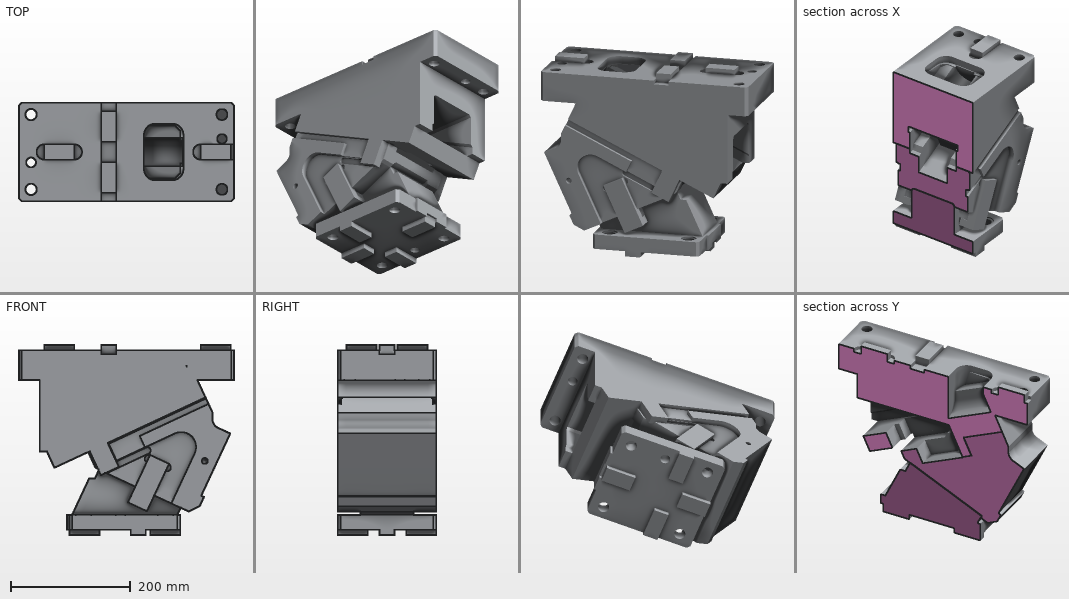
import cadquery as cq
import math

WIDTH = 165.0
HALF_WIDTH = WIDTH / 2
ANGLE = 25.0
COS = math.cos(math.radians(ANGLE))
SIN = math.sin(math.radians(ANGLE))
CORNER_CHAMFER = 5.0

KEY_LENGTH = 50.5
KEY_WIDTH = 25.5
KEY_HEIGHT = 9.0
KEY_SLOT_DEPTH = 6.5

BASE_BOTTOM = KEY_HEIGHT
BASE_THICKNESS = 25.0
BASE_TOP = BASE_BOTTOM + BASE_THICKNESS
PLATE_THICKNESS = 50.0
HOLDER_TOP = 309.0
PLATE_BOTTOM = HOLDER_TOP - PLATE_THICKNESS

SLIDE_X, SLIDE_Z = 118.6, 140.0
DRIVE_X, DRIVE_Z = 146.6, 103.4
SLIDE_PLANE = cq.Plane((SLIDE_X, 0, SLIDE_Z), (COS, 0, SIN), (0, -1, 0))
DRIVE_PLANE = cq.Plane((DRIVE_X, 0, DRIVE_Z), (COS, 0, -SIN), (0, -1, 0))

SCREW_HOLE = 18.5
DOWEL_HOLE = 16.0
HOLE_Y = 62.5


def slide_point(u, v):
    """World (x, z) of a point in the slide frame."""
    return (SLIDE_X + u * COS - v * SIN, SLIDE_Z + u * SIN + v * COS)


def drive_point(p, q):
    """World (x, z) of a point in the driver frame."""
    return (DRIVE_X + p * COS + q * SIN, DRIVE_Z - p * SIN + q * COS)


def on_fall(start, z):
    """World (x, z) at height z on the line through start that is square to the driver face."""
    return (start[0] + (z - start[1]) * SIN / COS, z)


def block(x0, x1, y0, y1, z0, z1):
    """Box between two corners."""
    return cq.Workplane("XY").box(x1 - x0, y1 - y0, z1 - z0, centered=False).translate((x0, y0, z0))


def prism(points, half_width, plane="XZ"):
    """Closed outline in a plane whose normal is Y, extruded evenly to both sides."""
    return cq.Workplane(plane).polyline(points).close().extrude(half_width, both=True)


def layer(plane, sketch_points, y0, y1):
    """Outline in a tilted plane, extruded over y0..y1 and mirrored to the other side."""
    one = cq.Workplane(plane).workplane(offset=-y1).polyline(sketch_points).close().extrude(y1 - y0)
    return one.union(one.mirror("XZ"))


def along_slide(section, u0, u1):
    """Outline of (y, v) points swept up the slide from u0 to u1."""
    x, z = slide_point(u0, 0)
    plane = cq.Plane((x, 0, z), (0, -1, 0), (-COS, 0, -SIN))
    return cq.Workplane(plane).polyline(section).close().extrude(u0 - u1)


def rectangle(a0, a1, b0, b1):
    """Corner points of a rectangle."""
    return [(a0, b0), (a1, b0), (a1, b1), (a0, b1)]


def long_slot(x0, x1, z0, z1):
    """Key slot along X on the centre line, with round ends."""
    slot = cq.Workplane("XY", origin=((x0 + x1) / 2, 0, z0)).slot2D(x1 - x0, KEY_WIDTH)
    return slot.extrude(z1 - z0)


def drill(points, diameter, z0, z1):
    """Vertical round holes."""
    return cq.Workplane("XY", origin=(0, 0, z0)).pushPoints(points).circle(diameter / 2).extrude(z1 - z0)


HOLDER_LENGTH = 360.0
BODY_LEFT = 35.0
SLAB = 30.0
SLIDE_END = 213.5
NOSE_U = -65.2
EAR_LENGTH = 33.0
EAR_DROP = 44.0
STOP_HALF = 25.0
OPENING_END = 113.0
STOP_END = OPENING_END + 20.0
CHANNEL_DEPTH = 35.0
EAR_INNER = 68.3


def holder_body():
    nose_top = slide_point(NOSE_U, SLAB)
    corner = slide_point(SLIDE_END, 0)
    right_top_x = corner[0] - (PLATE_BOTTOM - corner[1]) * SIN / COS
    body = prism([
        (BODY_LEFT, HOLDER_TOP - KEY_SLOT_DEPTH), (BODY_LEFT, nose_top[1]), nose_top,
        slide_point(NOSE_U, 0), corner, (right_top_x, PLATE_BOTTOM),
        (right_top_x, HOLDER_TOP - KEY_SLOT_DEPTH),
    ], HALF_WIDTH)
    plate = block(0, HOLDER_LENGTH, -HALF_WIDTH, HALF_WIDTH, PLATE_BOTTOM, HOLDER_TOP)
    plate = plate.edges("|Z").chamfer(CORNER_CHAMFER)
    ears = layer(SLIDE_PLANE, rectangle(0, EAR_LENGTH, -EAR_DROP, SLAB), EAR_INNER, HALF_WIDTH)
    stop = prism(rectangle(OPENING_END, STOP_END, -CHANNEL_DEPTH, SLAB), STOP_HALF, SLIDE_PLANE)
    return body.union(plate).union(ears).union(stop)


TUNNEL_TOP = 212.0
TUNNEL_HALF = 47.0
TUNNEL_CHAMFER = 4.0
FLOOR_HALF = 51.0
FLOOR_BAND = 16.0
OPENING_START = -6.4
SPRING_SLOT_START = -16.7
SPRING_SLOT_HALF = 28.0


def holder_tunnel():
    """Wedge between a level ceiling and the sloping floor, and its openings down to the slider."""
    floor_start = slide_point(NOSE_U, SLAB)
    floor_end_x = floor_start[0] + (TUNNEL_TOP - floor_start[1]) * COS / SIN
    wedge = prism([
        (0, TUNNEL_TOP), (0, floor_start[1]), floor_start, (floor_end_x, TUNNEL_TOP),
    ], TUNNEL_HALF)
    wedge = wedge.faces(">Z").edges("|X").chamfer(TUNNEL_CHAMFER)
    step = FLOOR_HALF - TUNNEL_HALF
    band = along_slide([
        (-FLOOR_HALF, SLAB), (FLOOR_HALF, SLAB), (FLOOR_HALF, SLAB + FLOOR_BAND),
        (TUNNEL_HALF, SLAB + FLOOR_BAND + step), (-TUNNEL_HALF, SLAB + FLOOR_BAND + step),
        (-FLOOR_HALF, SLAB + FLOOR_BAND),
    ], NOSE_U - SLAB, OPENING_END)
    opening = prism(rectangle(OPENING_START, OPENING_END, 0, SLAB), TUNNEL_HALF, SLIDE_PLANE)
    slot = prism(rectangle(SPRING_SLOT_START, OPENING_END, 0, SLAB), SPRING_SLOT_HALF, SLIDE_PLANE)
    below_ceiling = block(0, HOLDER_LENGTH, -HALF_WIDTH, HALF_WIDTH, 0, TUNNEL_TOP)
    return wedge.union(band.union(opening).union(slot).intersect(below_ceiling))


POCKET_LEFT, POCKET_RIGHT = 209.0, 275.5
POCKET_HALF = 47.5
POCKET_RADIUS = 20.0
LEDGE_V = 76.0
LEDGE_HALF = 43.5
LEDGE_RIGHT = 269.5
LEDGE_CORNER = 8.0
LEDGE_BEVEL = 25.0
POCKET_FLOOR = HOLDER_TOP - 13.0
GROOVE_RADIUS = 23.5
GROOVE_AXIS_V = LEDGE_V - 13.0
GROOVE_END = 207.0


def holder_top_pocket():
    """Rounded well down to a sloping ledge, with a round-bottomed groove along the slope."""
    well = block(POCKET_LEFT, POCKET_RIGHT, -POCKET_HALF, POCKET_HALF, SLIDE_Z, HOLDER_TOP)
    well = well.edges("|Z").fillet(POCKET_RADIUS)
    above_floor = block(0, HOLDER_LENGTH, -HALF_WIDTH, HALF_WIDTH, POCKET_FLOOR, HOLDER_TOP)
    above_ledge = along_slide([
        (-LEDGE_HALF, LEDGE_V), (LEDGE_HALF, LEDGE_V), (POCKET_HALF, LEDGE_V + LEDGE_BEVEL),
        (POCKET_HALF, HOLDER_TOP), (-POCKET_HALF, HOLDER_TOP), (-POCKET_HALF, LEDGE_V + LEDGE_BEVEL),
    ], 0, GROOVE_END)
    ledge_area = block(POCKET_LEFT, LEDGE_RIGHT, -LEDGE_HALF, LEDGE_HALF, SLIDE_Z, HOLDER_TOP)
    ledge_area = ledge_area.edges("|Z and >X").chamfer(LEDGE_CORNER)
    bevel_end = LEDGE_RIGHT - LEDGE_CORNER
    bevel_area = block(POCKET_LEFT, bevel_end, -POCKET_HALF, POCKET_HALF, SLIDE_Z, HOLDER_TOP)
    above_ledge = above_ledge.intersect(ledge_area.union(bevel_area))

    groove_x, groove_z = slide_point(0, GROOVE_AXIS_V)
    groove = cq.Workplane(cq.Plane((groove_x, 0, groove_z), (0, 1, 0), (COS, 0, SIN)))
    groove = groove.circle(GROOVE_RADIUS).extrude(GROOVE_END)
    straight = prism(rectangle(0, GROOVE_END, GROOVE_AXIS_V, LEDGE_V), GROOVE_RADIUS, SLIDE_PLANE)
    right_of_wall = block(POCKET_LEFT, HOLDER_LENGTH, -HALF_WIDTH, HALF_WIDTH, SLIDE_Z, POCKET_FLOOR)
    groove = groove.union(straight).intersect(right_of_wall)
    return well.intersect(above_floor.union(above_ledge)).union(groove)


HOLDER_CROSS_X = 137.5
HOLDER_CROSS_KEY_Y = 17.5
HOLDER_KEY_X = (42.5, 304.0)
HOLDER_HOLE_X = (20.5, HOLDER_LENGTH - 20.5)
HOLDER_DOWELS = ((HOLDER_HOLE_X[0], -17.5), (HOLDER_HOLE_X[1], 22.0))


def add_holder_keys(body):
    slot_floor = HOLDER_TOP - KEY_SLOT_DEPTH
    key_top = HOLDER_TOP + KEY_HEIGHT
    left_x, right_x = HOLDER_KEY_X
    overrun = KEY_WIDTH / 2
    cross_end = HOLDER_CROSS_X + KEY_WIDTH
    body = body.cut(block(HOLDER_CROSS_X, cross_end, -HALF_WIDTH, HALF_WIDTH, slot_floor, HOLDER_TOP))
    body = body.cut(long_slot(left_x - overrun, left_x + KEY_LENGTH + overrun, slot_floor, HOLDER_TOP))
    body = body.cut(long_slot(right_x - overrun, HOLDER_LENGTH + KEY_WIDTH, slot_floor, HOLDER_TOP))
    for x in HOLDER_KEY_X:
        body = body.union(block(x, x + KEY_LENGTH, -KEY_WIDTH / 2, KEY_WIDTH / 2, slot_floor, key_top))
    for y in (HOLDER_CROSS_KEY_Y, -HOLDER_CROSS_KEY_Y - KEY_LENGTH):
        body = body.union(block(HOLDER_CROSS_X, cross_end, y, y + KEY_LENGTH, slot_floor, key_top))
    return body


def make_holder():
    body = holder_body().cut(holder_tunnel()).cut(holder_top_pocket())
    body = add_holder_keys(body)
    screws = [(x, y) for x in HOLDER_HOLE_X for y in (-HOLE_Y, HOLE_Y)]
    body = body.cut(drill(screws, SCREW_HOLE, PLATE_BOTTOM, HOLDER_TOP))
    return body.cut(drill(HOLDER_DOWELS, DOWEL_HOLE, PLATE_BOTTOM, HOLDER_TOP))


SLIDER_LEFT = -3.0
SLIDER_SHOULDER_V = -28.0
SLIDER_FOOT = 151.5
SLIDER_STEP = 164.5
SLIDER_FRONT = 159.5
SLIDER_TIP_Q = 147.7
NOTCH_DROP = 13.0
NOTCH_RADIUS = 17.0
NOTCH_P = 140.5
SLIDER_LIP = (16.0, 33.0)
DRIVER_TOP_LEFT = -14.0


def slider_body():
    shoulder = slide_point(SLIDE_END, SLIDER_SHOULDER_V)
    arc_start = (shoulder[0], shoulder[1] - NOTCH_DROP)
    arc_end = drive_point(NOTCH_P, SLIDER_TIP_Q)
    outline = (
        cq.Workplane("XZ")
        .polyline([
            drive_point(DRIVER_TOP_LEFT, 0), slide_point(SLIDER_LEFT, SLIDER_SHOULDER_V),
            slide_point(SLIDER_LEFT, 0), slide_point(SLIDE_END, 0), shoulder, arc_start,
        ])
        .radiusArc(arc_end, -NOTCH_RADIUS)
    )
    for p, q in (
        (SLIDER_FRONT, SLIDER_TIP_Q), (SLIDER_FRONT, SLIDER_LIP[1]), (SLIDER_STEP, SLIDER_LIP[1]),
        (SLIDER_STEP, SLIDER_LIP[0]), (SLIDER_FOOT, 0),
    ):
        outline = outline.lineTo(*drive_point(p, q))
    return outline.close().extrude(HALF_WIDTH, both=True)


RAIL_Y = 76.5
RAIL_DEPTH = 12.0
RAIL_CHAMFER = 2.0
RAIL_STEP_U = 86.5
RAIL_LOW_V = -34.0
EAR_CLEARANCE = 1.0
EAR_TRACK_V = -EAR_DROP - EAR_CLEARANCE
EAR_TRACK_END = 88.0
POCKET_Y = 72.5
ARCH_V = -33.0
ARCH_P = 119.5
ARCH_RADIUS = 25.0


def slider_side_recesses():
    strip = layer(SLIDE_PLANE, rectangle(SLIDER_LEFT, SLIDE_END, -RAIL_DEPTH, 0), RAIL_Y, HALF_WIDTH)
    left_part = rectangle(SLIDER_LEFT, RAIL_STEP_U, RAIL_LOW_V, 0)
    deep_strip = layer(SLIDE_PLANE, left_part, RAIL_Y, HALF_WIDTH)
    ear_area = rectangle(SLIDER_LEFT, EAR_LENGTH + EAR_CLEARANCE, EAR_TRACK_V, 0)
    ear_space = layer(SLIDE_PLANE, ear_area, EAR_INNER, HALF_WIDTH)
    track_radius = (RAIL_LOW_V - EAR_TRACK_V) / 2
    track_area = rectangle(SLIDER_LEFT, EAR_TRACK_END, EAR_TRACK_V, RAIL_LOW_V)
    track = layer(SLIDE_PLANE, track_area, EAR_INNER, HALF_WIDTH)
    end = cq.Workplane(SLIDE_PLANE).center(EAR_TRACK_END, RAIL_LOW_V - track_radius).circle(track_radius)
    end = end.extrude(HALF_WIDTH, both=True)
    end = end.cut(block(0, HOLDER_LENGTH, -EAR_INNER, EAR_INNER, 0, HOLDER_TOP))
    edge = along_slide(
        [(RAIL_Y - RAIL_CHAMFER, 0), (RAIL_Y, -RAIL_CHAMFER), (RAIL_Y, 0)], SLIDER_LEFT, SLIDE_END)
    strip = strip.union(edge).union(edge.mirror("XZ"))
    return strip.union(deep_strip).union(ear_space).union(track).union(end)


def slider_arch_pocket():
    """Side pocket under a line parallel to the slide, rounded into a line square to the driver."""
    slide_side = rectangle(-WIDTH, HOLDER_LENGTH, -HOLDER_TOP, ARCH_V)
    below_slide = layer(SLIDE_PLANE, slide_side, POCKET_Y, HALF_WIDTH)
    driver_side = rectangle(-WIDTH, ARCH_P, 0, HOLDER_TOP)
    left_of_wall = layer(DRIVE_PLANE, driver_side, POCKET_Y, HALF_WIDTH)
    pocket = below_slide.intersect(left_of_wall)
    return pocket.edges("|Y and >Z").fillet(ARCH_RADIUS)


BAR_P = (53.0, 88.0)
BAR_Q = (-29.0, 58.5)
BAR_OUTER = 80.5
BAR_INNER = 65.0
HOOK_INNER = 52.0
HOOK_TOP = -17.0
RELIEF_RADIUS = 6.0
RELIEF_DROP = 7.0
RELIEF_DEPTH = 4.0


def slider_bar_reliefs():
    q = BAR_Q[1] - RELIEF_DROP
    reliefs = (
        cq.Workplane(DRIVE_PLANE).pushPoints([(p, q) for p in BAR_P])
        .circle(RELIEF_RADIUS).extrude(POCKET_Y, both=True)
    )
    keep = POCKET_Y - RELIEF_DEPTH
    return reliefs.cut(block(0, HOLDER_LENGTH, -keep, keep, 0, HOLDER_TOP))


def slider_return_bars():
    bars = layer(DRIVE_PLANE, rectangle(*BAR_P, *BAR_Q), BAR_INNER, BAR_OUTER)
    hooks = layer(DRIVE_PLANE, rectangle(*BAR_P, BAR_Q[0], HOOK_TOP), HOOK_INNER, BAR_OUTER)
    return bars.union(hooks)


CHANNEL_HALF = 29.0
CHANNEL_START = 30.0
TOP_STEP = 7.0
TOP_STEP_END = 80.0
SIDE_HOLE = 10.0
SIDE_HOLE_DEPTH = 10.0
DRILL_SLOPE = 31.0
SIDE_HOLE_X, SIDE_HOLE_Z = 310.8, 124.0


def slider_top_recess():
    """Spring channel along the slide, and the lowered top on both sides of its start."""
    channel = prism(rectangle(CHANNEL_START, STOP_END, -CHANNEL_DEPTH, 0), CHANNEL_HALF, SLIDE_PLANE)
    lean = TOP_STEP * math.tan(math.radians(2 * ANGLE))
    lowered = prism([
        (SLIDER_LEFT, 0), (SLIDER_LEFT, -TOP_STEP), (TOP_STEP_END - lean, -TOP_STEP), (TOP_STEP_END, 0),
    ], TUNNEL_HALF, SLIDE_PLANE)
    return channel.union(lowered)


def slider_side_hole():
    """Blind hole from the +Y side with a conical bottom."""
    radius = SIDE_HOLE / 2
    bottom = SIDE_HOLE_DEPTH + radius * math.tan(math.radians(DRILL_SLOPE))
    half_section = cq.Workplane("YX", origin=(SIDE_HOLE_X, 0, SIDE_HOLE_Z)).polyline([
        (HALF_WIDTH, 0), (HALF_WIDTH, radius),
        (HALF_WIDTH - SIDE_HOLE_DEPTH, radius), (HALF_WIDTH - bottom, 0),
    ])
    return half_section.close().revolve(360, (0, 0), (1, 0))


def make_slider():
    body = slider_body().cut(slider_side_recesses()).cut(slider_arch_pocket())
    body = body.cut(slider_top_recess()).cut(slider_bar_reliefs())
    body = body.cut(driver_crest(DRIVER_TOP_LEFT - TROUGH_RUNOUT))
    hole = slider_side_hole()
    body = body.cut(hole).cut(hole.mirror("XZ"))
    return body.union(slider_return_bars())


DRIVER_HALF = 44.5
CREST_HEIGHT = 4.5
TROUGH_RUNOUT = 20.0
DRIVER_RIGHT = 136.7
DRIVER_LEDGE_Z = 95.0
DRIVER_LEDGE_X = 117.5
BASE_LEFT, BASE_RIGHT = 84.5, 270.0
BASE_TONGUE = 4.0
BASE_TONGUE_HALF = 37.0
LUG_END_GAP = 2.0


def driver_block():
    top_left = drive_point(DRIVER_TOP_LEFT, 0)
    top_right = drive_point(DRIVER_RIGHT, 0)
    ledge = (DRIVER_LEDGE_X, DRIVER_LEDGE_Z)
    return prism([
        on_fall(ledge, BASE_TOP), ledge, on_fall(top_left, DRIVER_LEDGE_Z), top_left, top_right,
        on_fall(top_right, BASE_TOP),
    ], DRIVER_HALF)


def driver_crest(p_start):
    """Raised middle of the driver face, with bevelled sides; the slider has the same trough."""
    x, z = drive_point(p_start, 0)
    section_plane = cq.Plane((x, 0, z), (0, 1, 0), (COS, 0, -SIN))
    flat_half = DRIVER_HALF - CREST_HEIGHT
    section = cq.Workplane(section_plane).polyline([
        (-DRIVER_HALF, 0), (DRIVER_HALF, 0), (flat_half, CREST_HEIGHT), (-flat_half, CREST_HEIGHT),
    ])
    return section.close().extrude(DRIVER_RIGHT - p_start)


def driver_lugs():
    """Lugs that rest on the slider's return hooks."""
    points = rectangle(BAR_P[0] + LUG_END_GAP, BAR_P[1] - LUG_END_GAP, HOOK_TOP, 0)
    return layer(DRIVE_PLANE, points, DRIVER_HALF, BAR_INNER)


BASE_KEY_X = (BASE_LEFT, BASE_RIGHT - KEY_LENGTH)
BASE_CROSS_X = 187.0
BASE_HOLE_X = (108.0, 245.0)
BASE_DOWEL = (170.0, -60.0)
COUNTERBORE = 26.0
COUNTERBORE_DEPTH = 2.0


def driver_base():
    base = block(BASE_LEFT, BASE_RIGHT, -HALF_WIDTH, HALF_WIDTH, BASE_BOTTOM, BASE_TOP)
    base = base.edges("|Z").chamfer(CORNER_CHAMFER)
    tongue_left = BASE_LEFT - BASE_TONGUE
    tongue = block(tongue_left, BASE_LEFT, -BASE_TONGUE_HALF, BASE_TONGUE_HALF, BASE_BOTTOM, BASE_TOP)
    base = base.union(tongue)
    slot_top = BASE_BOTTOM + KEY_SLOT_DEPTH
    half_key = KEY_WIDTH / 2
    base = base.cut(block(tongue_left, BASE_LEFT, -half_key, half_key, BASE_BOTTOM, slot_top))
    for x in BASE_KEY_X:
        base = base.union(block(x, x + KEY_LENGTH, -half_key, half_key, 0, slot_top))
    for y in (HALF_WIDTH - KEY_LENGTH, -HALF_WIDTH):
        base = base.union(block(BASE_CROSS_X, BASE_CROSS_X + KEY_WIDTH, y, y + KEY_LENGTH, 0, slot_top))
    screws = [(x, y) for x in BASE_HOLE_X for y in (-HOLE_Y, HOLE_Y)]
    base = base.cut(drill(screws, SCREW_HOLE, BASE_BOTTOM, BASE_TOP))
    base = base.cut(drill(screws, COUNTERBORE, BASE_TOP - COUNTERBORE_DEPTH, BASE_TOP))
    return base.cut(drill([BASE_DOWEL], DOWEL_HOLE, BASE_BOTTOM, BASE_TOP))


def make_driver():
    block_with_crest = driver_block().union(driver_crest(DRIVER_TOP_LEFT))
    return driver_base().union(block_with_crest).union(driver_lugs())


holder = make_holder()
slider = make_slider()
driver = make_driver()
result = cq.Compound.makeCompound([holder.solids().val(), slider.solids().val(), driver.solids().val()])